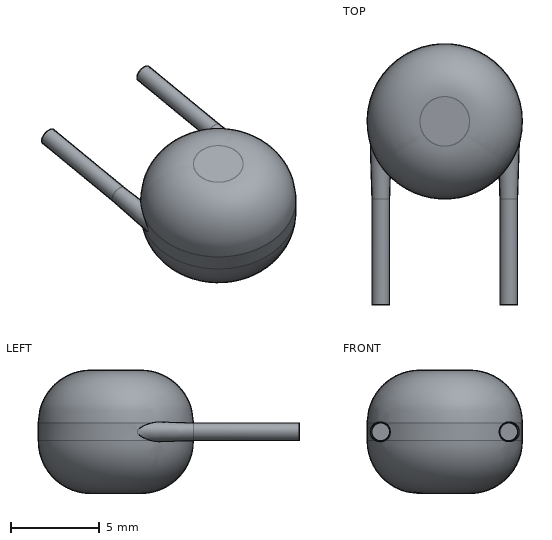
import cadquery as cq
import math

total_length = 14.8
body_diameter = 8.8
body_height = 7.0
band_height = 1.0

lead_diameter = 1.0
lead_spacing = 7.25

skirt_taper = 1.8

body_radius = body_diameter / 2
rim_radius = (body_height - band_height) / 2
lead_end_y = body_radius - total_length
skirt_length = body_radius


def make_body():
    """Rounded disc centred on the origin, revolved from half of its profile."""
    top = body_height / 2
    band_top = band_height / 2
    flat_radius = body_radius - rim_radius
    diagonal = rim_radius * math.sqrt(0.5)
    arc_x = flat_radius + diagonal
    arc_z = band_top + diagonal
    profile = (
        cq.Workplane("XZ")
        .moveTo(0, -top)
        .lineTo(flat_radius, -top)
        .threePointArc((arc_x, -arc_z), (body_radius, -band_top))
        .lineTo(body_radius, band_top)
        .threePointArc((arc_x, arc_z), (flat_radius, top))
        .lineTo(0, top)
        .close()
    )
    return profile.revolve(360, (0, 0, 0), (0, 1, 0))


def make_lead(x):
    """Round lead with its tapered skirt, both buried in the body up to its centre plane."""
    lead_radius = lead_diameter / 2
    root_radius = lead_radius + skirt_length * math.tan(math.radians(skirt_taper))
    profile = (
        cq.Workplane("XY")
        .moveTo(x, lead_end_y)
        .lineTo(x + lead_radius, lead_end_y)
        .lineTo(x + lead_radius, -body_radius)
        .lineTo(x + root_radius, 0)
        .lineTo(x, 0)
        .close()
    )
    return profile.revolve(360, (x, 0, 0), (x, 1, 0))


result = make_body()
for side in (-1, 1):
    result = result.union(make_lead(side * lead_spacing / 2))